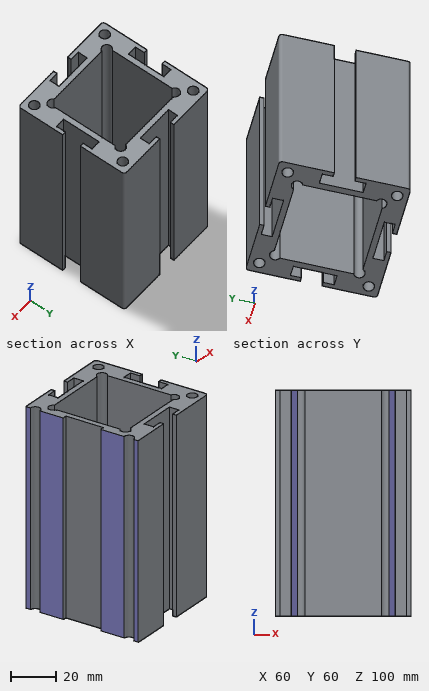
import cadquery as cq

side = 60.0
length = 100.0
corner_radius = 1.5

slot_opening = 10.0
slot_width = 20.0
lip_thickness = 2.0
slot_depth = 7.0

bore_side = 40.4
relief_diameter = 5.0
relief_offset = 19.2

screw_diameter = 5.0
screw_offset = 25.0


def corner_holes(offset, diameter):
    """Four full-length round cutters at the corners of a centred square."""
    return (
        cq.Workplane("XY")
        .rect(2 * offset, 2 * offset, forConstruction=True)
        .vertices()
        .circle(diameter / 2)
        .extrude(length)
    )


def t_slot():
    """Full-length T-slot cutter for the +Y face."""
    chamber_depth = slot_depth - lip_thickness
    chamber_center = side / 2 - lip_thickness - chamber_depth / 2
    mouth = (
        cq.Workplane("XY")
        .center(0, side / 2 - slot_depth / 2)
        .rect(slot_opening, slot_depth)
        .extrude(length)
    )
    chamber = (
        cq.Workplane("XY")
        .center(0, chamber_center)
        .rect(slot_width, chamber_depth)
        .extrude(length)
    )
    return mouth.union(chamber)


result = cq.Workplane("XY").rect(side, side).extrude(length).edges("|Z").fillet(corner_radius)

result = result.cut(cq.Workplane("XY").rect(bore_side, bore_side).extrude(length))
result = result.cut(corner_holes(relief_offset, relief_diameter))
result = result.cut(corner_holes(screw_offset, screw_diameter))

for angle in (0, 90, 180, 270):
    result = result.cut(t_slot().rotate((0, 0, 0), (0, 0, 1), angle))